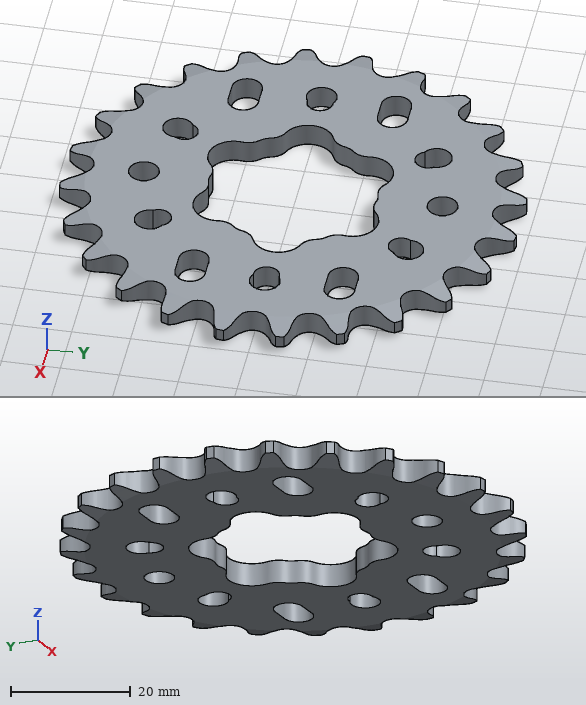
import cadquery as cq
import math

TOOTH_COUNT = 24
OVERALL_SIZE = 77.55
THICKNESS = 4.0
CHAIN_PITCH = 9.55
ROLLER_DIAMETER = 5.1
SEATING_CLEARANCE = 0.15

BEVEL_START_RADIUS = 34.8
TIP_THICKNESS = 2.25

LOBE_COUNT = 6
LOBE_CENTRE_RADIUS = 13.1
LOBE_RADIUS = 4.35
NOSE_RADIUS = 3.25
NOSE_OFFSET = 1.9
VALLEY_RADIUS = 14.35

OUTER_HOLE_COUNT = 12
OUTER_HOLE_CIRCLE_RADIUS = 25.4
OUTER_HOLE_RADIUS = 2.55
INNER_HOLE_COUNT = 6
INNER_HOLE_CIRCLE_RADIUS = 23.8
INNER_HOLE_RADIUS = 2.2
SLOT_HOLE_ANGLE = 30

PITCH_RADIUS = CHAIN_PITCH / 2 / math.sin(math.pi / TOOTH_COUNT)


def polar(radius, angle, centre=(0, 0)):
    """Point at a radius and an angle in degrees from a centre."""
    turn = math.radians(angle)
    return (centre[0] + radius * math.cos(turn), centre[1] + radius * math.sin(turn))


def rotated(point, angle):
    """Point turned about the wheel axis by an angle in degrees."""
    return polar(math.hypot(*point), math.degrees(math.atan2(point[1], point[0])) + angle)


def mirrored(point):
    return (-point[0], point[1])


def point_towards(start, end, distance):
    """Point on the ray from start through end, at a distance from start."""
    angle = math.degrees(math.atan2(end[1] - start[1], end[0] - start[0]))
    return polar(distance, angle, start)


def tooth_flank():
    """Points along the right flank of the gap on +Y, from gap bottom to tooth tip.

    Standard roller-chain form: a seating arc, a working arc, a short straight
    and a topping arc, each tangent to the one before. The constants below are those
    of the standard form: angles in degrees, offsets as multiples of the roller diameter.
    """
    seating_radius = (ROLLER_DIAMETER + SEATING_CLEARANCE) / 2
    seating_angle = 35 + 60 / TOOTH_COUNT
    working_sweep = 18 - 56 / TOOTH_COUNT
    working_offset = 0.8 * ROLLER_DIAMETER
    working_radius = seating_radius + working_offset
    topping_offset = 1.4 * ROLLER_DIAMETER
    topping_angle = 17 - 64 / TOOTH_COUNT
    flank_angle = seating_angle - working_sweep

    seating_centre = (0, PITCH_RADIUS)
    bottom = (0, PITCH_RADIUS - seating_radius)
    seating_end = polar(seating_radius, -seating_angle, seating_centre)

    working_centre = polar(working_offset, 180 - seating_angle, seating_centre)
    working_middle = polar(working_radius, -seating_angle + working_sweep / 2, working_centre)
    working_end = polar(working_radius, -flank_angle, working_centre)

    straight_length = (
        topping_offset * math.sin(math.radians(topping_angle))
        - working_offset * math.sin(math.radians(working_sweep))
    )
    topping_start = polar(straight_length, 90 - flank_angle, working_end)
    topping_radius = (
        topping_offset * math.cos(math.radians(topping_angle))
        + working_offset * math.cos(math.radians(working_sweep))
        - working_radius
    )
    topping_centre = polar(topping_radius, -flank_angle, topping_start)

    tip_height = OVERALL_SIZE / 2
    tip_angle = 180 - math.degrees(math.asin((tip_height - topping_centre[1]) / topping_radius))
    topping_middle = polar(topping_radius, (tip_angle + 180 - flank_angle) / 2, topping_centre)
    tip = polar(topping_radius, tip_angle, topping_centre)
    return (bottom, seating_end, working_middle, working_end, topping_start, topping_middle, tip)


def toothed_blank():
    """Flat disc with the full tooth outline."""
    right_flank = tooth_flank()
    left_flank = [mirrored(point) for point in right_flank]
    tooth_angle = 360 / TOOTH_COUNT
    tip_radius = math.hypot(*right_flank[-1])
    outline = cq.Workplane("XY").workplane(offset=-THICKNESS / 2).moveTo(*left_flank[-1])
    for gap in range(TOOTH_COUNT):
        turn = -gap * tooth_angle
        bottom, seat, work_middle, work_end, top_start, top_middle, tip = [
            rotated(point, turn) for point in right_flank
        ]
        _, left_seat, left_work_middle, left_work_end, left_top_start, left_top_middle, left_tip = [
            rotated(point, turn) for point in left_flank
        ]
        next_tip = rotated(left_tip, -tooth_angle)
        tip_middle = polar(tip_radius, 90 + turn - tooth_angle / 2)
        outline = (
            outline
            .threePointArc(left_top_middle, left_top_start)
            .lineTo(*left_work_end)
            .threePointArc(left_work_middle, left_seat)
            .threePointArc(bottom, seat)
            .threePointArc(work_middle, work_end)
            .lineTo(*top_start)
            .threePointArc(top_middle, tip)
            .threePointArc(tip_middle, next_tip)
        )
    return outline.close().extrude(THICKNESS)


def bevel_envelope():
    """Disc whose rim tapers on both faces, used to bevel the teeth."""
    rim_radius = OVERALL_SIZE / 2
    slope = (THICKNESS - TIP_THICKNESS) / 2 / (rim_radius - BEVEL_START_RADIUS)
    apex_radius = rim_radius + TIP_THICKNESS / 2 / slope
    half = THICKNESS / 2
    profile = [
        (0, -half),
        (BEVEL_START_RADIUS, -half),
        (apex_radius, 0),
        (BEVEL_START_RADIUS, half),
        (0, half),
    ]
    return cq.Workplane("XZ").polyline(profile).close().revolve(360, (0, 0), (0, 1))


def bore():
    """Cutter for the six-lobed centre opening, all arcs tangent."""
    lobe_angle = 360 / LOBE_COUNT
    half_angle = lobe_angle / 2

    lobe_centre = polar(LOBE_CENTRE_RADIUS, 90 - half_angle)
    lobe_to_nose = LOBE_RADIUS + NOSE_RADIUS
    nose_height = lobe_centre[1] + math.sqrt(lobe_to_nose**2 - (lobe_centre[0] - NOSE_OFFSET)**2)
    nose_centre = (NOSE_OFFSET, nose_height)

    rise = nose_height - VALLEY_RADIUS
    hollow_radius = (NOSE_OFFSET**2 + rise**2 - NOSE_RADIUS**2) / (2 * (NOSE_RADIUS - rise))
    hollow_centre = (0, VALLEY_RADIUS - hollow_radius)

    hollow_middle = (0, VALLEY_RADIUS)
    hollow_end = point_towards(hollow_centre, nose_centre, hollow_radius)
    nose_end = point_towards(lobe_centre, nose_centre, LOBE_RADIUS)
    between = ((hollow_end[0] + nose_end[0]) / 2, (hollow_end[1] + nose_end[1]) / 2)
    nose_middle = point_towards(nose_centre, between, NOSE_RADIUS)
    lobe_tip_radius = LOBE_CENTRE_RADIUS + LOBE_RADIUS

    outline = cq.Workplane("XY").workplane(offset=-THICKNESS / 2).moveTo(*mirrored(nose_end))
    for valley in range(LOBE_COUNT):
        turn = -valley * lobe_angle
        next_nose = rotated(mirrored(nose_end), turn - lobe_angle)
        outline = (
            outline
            .threePointArc(rotated(mirrored(nose_middle), turn), rotated(mirrored(hollow_end), turn))
            .threePointArc(rotated(hollow_middle, turn), rotated(hollow_end, turn))
            .threePointArc(rotated(nose_middle, turn), rotated(nose_end, turn))
            .threePointArc(polar(lobe_tip_radius, 90 + turn - half_angle), next_nose)
        )
    return outline.close().extrude(THICKNESS)


def hole_ring(count, circle_radius, hole_radius):
    """Cutter for a ring of through holes, the first on +X."""
    return (
        cq.Workplane("XY").workplane(offset=-THICKNESS / 2)
        .polarArray(circle_radius, 0, 360, count)
        .circle(hole_radius)
        .extrude(THICKNESS)
    )


def slots():
    """Cutter for the slots, each running along X from an outer hole to the hole-circle radius."""
    inner_x, offset_y = polar(OUTER_HOLE_CIRCLE_RADIUS, SLOT_HOLE_ANGLE)
    outer_x = OUTER_HOLE_CIRCLE_RADIUS
    width = 2 * OUTER_HOLE_RADIUS
    return (
        cq.Workplane("XY").workplane(offset=-THICKNESS / 2)
        .rarray(inner_x + outer_x, 2 * offset_y, 2, 2)
        .slot2D(outer_x - inner_x + width, width)
        .extrude(THICKNESS)
    )


result = (
    toothed_blank()
    .intersect(bevel_envelope())
    .cut(bore())
    .cut(hole_ring(OUTER_HOLE_COUNT, OUTER_HOLE_CIRCLE_RADIUS, OUTER_HOLE_RADIUS))
    .cut(hole_ring(INNER_HOLE_COUNT, INNER_HOLE_CIRCLE_RADIUS, INNER_HOLE_RADIUS))
    .cut(slots())
)